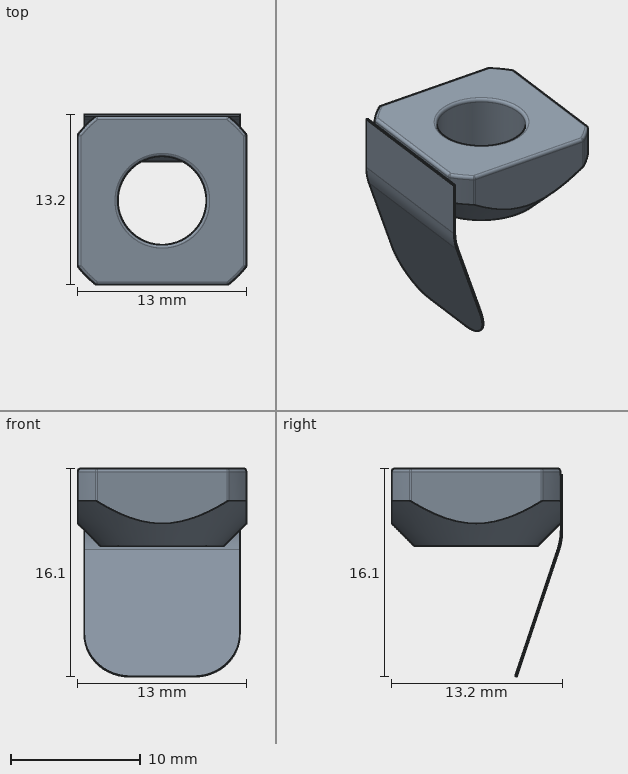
import cadquery as cq
import math

nut_side = 13.0
nut_height = 6.0
corner_diameter = 16.5
cone_height = 3.5
bore_diameter = 6.8
edge_radius = 0.25

leaf_width = 12.0
leaf_thickness = 0.15
leaf_top = -0.5
leaf_bottom = -16.05
bend_start = -4.8
bend_radius = 4.5
bend_angle = math.radians(18.5)
leaf_corner_radius = 3.5


def make_nut():
    corner_radius = corner_diameter / 2
    square = cq.Workplane("XY").rect(nut_side, nut_side).extrude(-nut_height)
    round_limit = cq.Workplane("XY").circle(corner_radius).extrude(-nut_height)
    block = square.intersect(round_limit).edges("|Z").fillet(edge_radius)

    cone_limit = (
        cq.Workplane("XY")
        .circle(corner_radius)
        .extrude(-nut_height)
        .faces("<Z")
        .chamfer(cone_height)
    )
    bore = cq.Workplane("XY").circle(bore_diameter / 2).extrude(-nut_height)
    nut = block.intersect(cone_limit).cut(bore)
    return nut.faces(">Z").edges().fillet(edge_radius)


def make_leaf():
    inner_y = nut_side / 2
    outer_y = inner_y + leaf_thickness
    bend_center_y = inner_y - bend_radius
    outer_bend_radius = bend_radius + leaf_thickness

    def on_bend(radius, angle):
        return (bend_center_y + radius * math.cos(angle), bend_start - radius * math.sin(angle))

    inner_bend_end = on_bend(bend_radius, bend_angle)
    outer_bend_end = on_bend(outer_bend_radius, bend_angle)

    tail_length = (outer_bend_end[1] - leaf_bottom) / math.cos(bend_angle)

    def along_tail(start):
        return (
            start[0] - tail_length * math.sin(bend_angle),
            start[1] - tail_length * math.cos(bend_angle),
        )

    strip = (
        cq.Workplane("YZ")
        .moveTo(inner_y, leaf_top)
        .lineTo(inner_y, bend_start)
        .threePointArc(on_bend(bend_radius, bend_angle / 2), inner_bend_end)
        .lineTo(*along_tail(inner_bend_end))
        .lineTo(*along_tail(outer_bend_end))
        .lineTo(*outer_bend_end)
        .threePointArc(on_bend(outer_bend_radius, bend_angle / 2), (outer_y, bend_start))
        .lineTo(outer_y, leaf_top)
        .close()
        .extrude(leaf_width / 2, both=True)
    )
    tip_corners = strip.faces("<Z").edges("not(|X)")
    return tip_corners.fillet(leaf_corner_radius)


nut = make_nut()
leaf = make_leaf()

result = cq.Compound.makeCompound([nut.val(), leaf.val()])